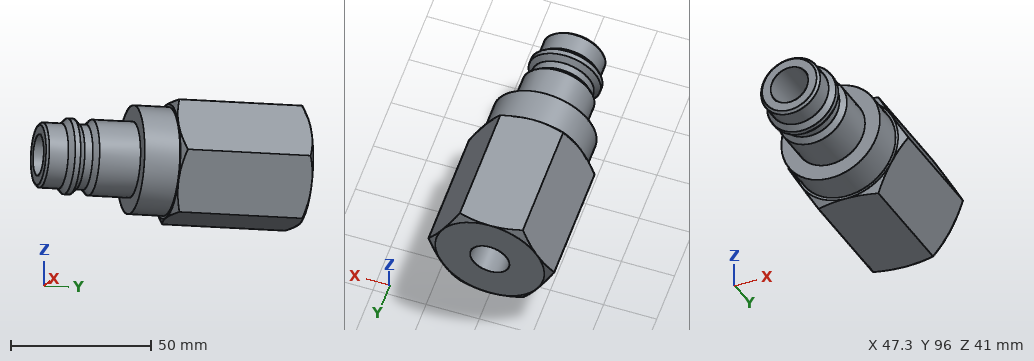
import cadquery as cq
import math

total_length = 96.0
across_flats = 41.0
hex_length = 49.0
hex_chamfer_angle = 30.0

collar_length = 13.0
collar_radius = 19.5
neck_radius = 13.6
groove_radius = 11.7
bore_radius = 7.4

nose_chamfer = 1.0
nose_length = 8.0
shoulder_length = 2.0
ring_width = 2.0
groove_width = 3.0

hex_start = total_length - hex_length
collar_start = hex_start - collar_length
ring_start = nose_length + shoulder_length
ring_end = ring_start + ring_width
groove_start = ring_end + shoulder_length
groove_end = groove_start + groove_width
neck_start = groove_end + shoulder_length


def revolve_about_y(points):
    """Turn a closed (radius, y) outline around the Y axis."""
    return cq.Workplane("XY").polyline(points).close().revolve(360, (0, 0, 0), (0, 1, 0))


def make_hexagon():
    """Hexagon with flats facing +Z and -Z, both ends turned to a cone."""
    corner_radius = across_flats / math.sqrt(3)
    face_radius = across_flats / 2
    chamfer_length = (corner_radius - face_radius) * math.tan(math.radians(hex_chamfer_angle))
    prism = (
        cq.Workplane("XZ", origin=(0, hex_start, 0))
        .polygon(6, 2 * corner_radius)
        .extrude(-hex_length)
    )
    turned_envelope = revolve_about_y([
        (0, hex_start),
        (face_radius, hex_start),
        (corner_radius, hex_start + chamfer_length),
        (corner_radius, total_length - chamfer_length),
        (face_radius, total_length),
        (0, total_length),
    ])
    return prism.intersect(turned_envelope)


def make_turned_front():
    """Nose, locking ring, groove, neck and collar as one turned body."""
    return revolve_about_y([
        (0, 0),
        (groove_radius - nose_chamfer, 0),
        (groove_radius, nose_chamfer),
        (groove_radius, nose_length),
        (neck_radius, ring_start),
        (neck_radius, ring_end),
        (groove_radius, groove_start),
        (groove_radius, groove_end),
        (neck_radius, neck_start),
        (neck_radius, collar_start),
        (collar_radius, collar_start),
        (collar_radius, hex_start),
        (0, hex_start),
    ])


bore = cq.Workplane("XZ").circle(bore_radius).extrude(-total_length)
result = make_hexagon().union(make_turned_front()).cut(bore)